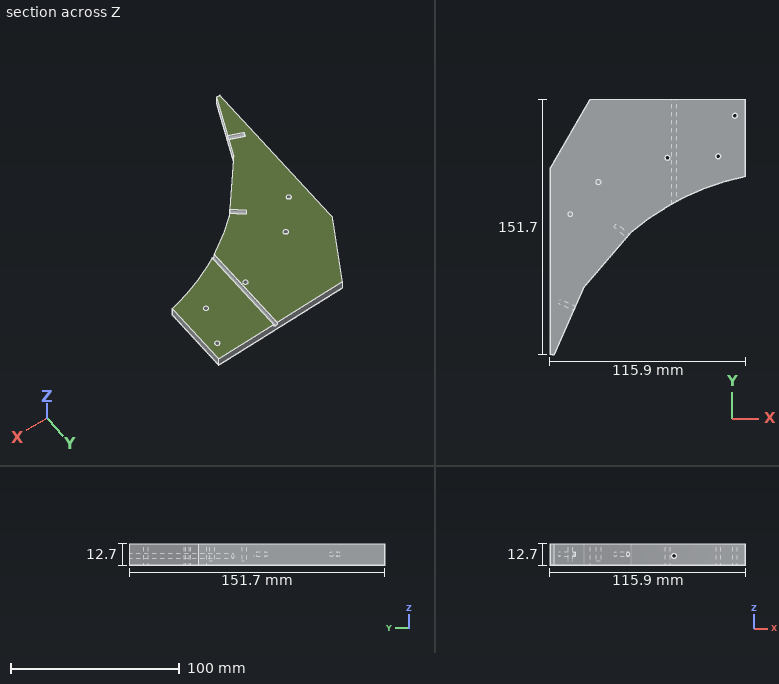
import cadquery as cq
import math

LENGTH_X = 115.87
LENGTH_Y = 151.7
THICKNESS = 12.7

CORNER_ANGLE = 60.0
CORNER_X = 23.6
CORNER_Y = CORNER_X * math.tan(math.radians(CORNER_ANGLE))

TIP_WIDTH = 2.4
TIP_DROP = 0.3

RIGHT_EDGE_LENGTH = 45.8
ARC_RADIUS = 150.0
TIP = (TIP_WIDTH, 0.0)
FLAT_JOINT = (20.1, 40.2)
ARC_START = (48.1, 72.8)
ARC_END = (LENGTH_X, LENGTH_Y - RIGHT_EDGE_LENGTH)

THROUGH_DIAMETER = 2.8
THROUGH_HOLES = [(69.6, 117.0), (99.7, 117.9), (109.6, 142.0)]
BLIND_DEPTH = 10.0
SMALL_BLIND_DIAMETER = 2.8
SMALL_BLIND_HOLE = (11.9, 83.6)
LARGE_BLIND_DIAMETER = 3.0
LARGE_BLIND_HOLE = (28.6, 102.6)

EDGE_DIAMETER = 2.6
EDGE_HEIGHT = 6.6
EDGE_DEPTH = 10.0
LOWER_EDGE_HOLE_X = 14.6
UPPER_EDGE_HOLE_X = 46.2
LONG_HOLE_DIAMETER = 2.8
LONG_HOLE_X = 73.5
LONG_HOLE_HEIGHT = 5.6


def arc_middle(start, end, radius):
    """Return the middle of an arc that bulges to the left of its start-to-end chord."""
    dx = end[0] - start[0]
    dy = end[1] - start[1]
    chord = math.hypot(dx, dy)
    rise = radius - math.sqrt(radius**2 - (chord / 2) ** 2)
    middle_x = (start[0] + end[0]) / 2 - rise * dy / chord
    middle_y = (start[1] + end[1]) / 2 + rise * dx / chord
    return middle_x, middle_y


def make_plate():
    """Extrude the plate outline."""
    return (
        cq.Workplane("XY")
        .moveTo(0, TIP_DROP)
        .lineTo(*TIP)
        .lineTo(*FLAT_JOINT)
        .lineTo(*ARC_START)
        .threePointArc(arc_middle(ARC_START, ARC_END, ARC_RADIUS), ARC_END)
        .lineTo(LENGTH_X, LENGTH_Y)
        .lineTo(CORNER_X, LENGTH_Y)
        .lineTo(0, LENGTH_Y - CORNER_Y)
        .close()
        .extrude(THICKNESS)
    )


def drill(start, direction, diameter, depth):
    """Return a round cutter that runs from start along direction."""
    return cq.Solid.makeCylinder(diameter / 2, depth, cq.Vector(*start), cq.Vector(*direction))


def vertical_drill(position, diameter, depth):
    """Return a cutter running down from the top face."""
    return drill((*position, THICKNESS), (0, 0, -1), diameter, depth)


def flat_drill(start, end, x):
    """Return a cutter square to the flat from start to end, entering it at x."""
    dx = end[0] - start[0]
    dy = end[1] - start[1]
    y = start[1] + (x - start[0]) * dy / dx
    return drill((x, y, EDGE_HEIGHT), (-dy, dx, 0), EDGE_DIAMETER, EDGE_DEPTH)


result = make_plate()

for hole in THROUGH_HOLES:
    result = result.cut(vertical_drill(hole, THROUGH_DIAMETER, THICKNESS))
result = result.cut(vertical_drill(SMALL_BLIND_HOLE, SMALL_BLIND_DIAMETER, BLIND_DEPTH))
result = result.cut(vertical_drill(LARGE_BLIND_HOLE, LARGE_BLIND_DIAMETER, BLIND_DEPTH))

result = result.cut(flat_drill(TIP, FLAT_JOINT, LOWER_EDGE_HOLE_X))
result = result.cut(flat_drill(FLAT_JOINT, ARC_START, UPPER_EDGE_HOLE_X))
result = result.cut(drill((LONG_HOLE_X, 0, LONG_HOLE_HEIGHT), (0, 1, 0), LONG_HOLE_DIAMETER, LENGTH_Y))